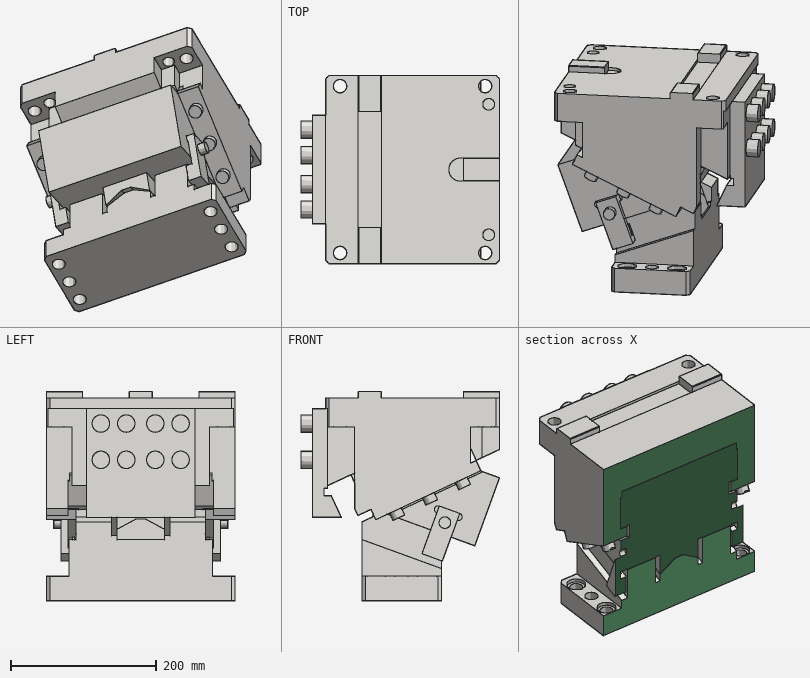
import cadquery as cq
import math

SLIDE_ANGLE = 25.0
DRIVE_ANGLE = 20.0
UNIT_WIDTH = 260.0
CORNER_CHAMFER = 5.0
FAR = 400.0

BASE_LENGTH = 110.0
BASE_WIDTH = 198.0
FLANGE_HEIGHT = 34.0
BASE_FRONT_HEIGHT = 109.0
RAMP_HEIGHT = 132.5
RAMP_START = 19.5
RAMP_WIDTH = 178.0
LEDGE_DEPTH = 45.0
CHANNEL_WIDTH = 80.0
CHANNEL_DEPTH = 40.0
RIDGE_WIDTH = 66.0
RIDGE_FLAT_WIDTH = 14.0
RIDGE_CREST_DEPTH = 14.0
RIDGE_EAVE_DEPTH = 29.0
FLANGE_HOLE_X = (20.0, 55.0, 90.0)
FLANGE_HOLE_Y = 115.0
FLANGE_HOLE_DIAMETER = 18.0
COUNTERBORE_DIAMETER = 26.0
COUNTERBORE_DEPTH = 5.0

SLAB_LEFT = -50.0
SLAB_RIGHT = 190.0
SLAB_TOP = 280.0
SLAB_BOTTOM = 240.0
FACE_SEAT_X = -47.0
SLAB_HOLES = ((-30.0, 115.0), (170.0, 115.0))
SLAB_HOLE_DIAMETER = 18.0
DOWEL_X = 175.0
DOWEL_Y = 90.0
DOWEL_DIAMETER = 16.0

KEY_WIDTH = 32.0
KEY_LENGTH = 50.0
KEY_TOP = 289.0
KEY_CHAMFER = 1.0
KEYWAY_DEPTH = 4.0
CROSS_KEYWAY_LEFT = -5.0
END_KEYWAY_ROUND_X = 136.0

WALL_LEFT = -10.0
WALL_RIGHT = 150.0
WALL_CORNER_CUT = 5.0
CORE_WIDTH = 190.0
CORE_RIGHT = 166.0
END_BLOCK_WIDTH = 150.0
GUIDE_HEIGHT = 115.4
CAVITY_END = 185.0
GUIDE_ROOF = 55.0

RETAINER_START = 25.0
RETAINER_THICKNESS = 15.5
RETAINER_INNER_Y = 89.0
SCREW_OFFSETS = (30.0, 80.0, 130.0)
SCREW_Y = 115.0
SCREW_DIAMETER = 18.0
SCREW_LENGTH = 11.0

FACE_SIZE = 150.0
FACE_LEFT = -68.0
FACE_TOP = 265.0
FACE_BOLT_Y = (-55.0, -20.0, 20.0, 55.0)
FACE_BOLT_DROPS = (20.5, 70.5)
FACE_BOLT_DIAMETER = 24.0
FACE_BOLT_LENGTH = 16.0
HOOK_HEIGHT = 30.0
HOOK_LEDGE = 5.0
UNDERCUT_HEIGHT = 10.0

SLIDER_WIDTH = 200.0
SLIDER_TOP_WIDTH = 196.0
SLIDER_TOP_STEP = 9.0
SLIDER_START = 20.0
SLIDER_GUIDE_END = 155.0
SLIDER_BODY_HEIGHT = 100.0
NECK_WIDTH = 172.0
NECK_HEIGHT = 18.0

STRAP_START = 101.0
STRAP_WIDTH = 30.0
STRAP_REACH = 35.0
STRAP_INNER_Y = 91.0
STRAP_OUTER_Y = 110.0
STRAP_GAP = 10.5
FOOT_NOTCH_INNER_Y = 94.0
FOOT_NOTCH_FLOOR = 26.0
FOOT_NOTCH_LENGTH = 5.0
STRAP_RELIEF_RADIUS = 5.0
STRAP_PIN_RISE = 16.0
STRAP_PIN_DIAMETER = 16.0
STRAP_PIN_LENGTH = 10.0

SLIDE = math.radians(SLIDE_ANGLE)
DRIVE = math.radians(DRIVE_ANGLE)

SLIDER_RIGHT = (SLAB_RIGHT - SLIDER_BODY_HEIGHT * math.sin(DRIVE)) / math.cos(DRIVE)
KEEL_END = STRAP_START + STRAP_WIDTH


def guide_point(along, up):
    """XZ point measured along and square to the holder's guide plane."""
    x = WALL_LEFT + along * math.cos(SLIDE) - up * math.sin(SLIDE)
    z = GUIDE_HEIGHT + along * math.sin(SLIDE) + up * math.cos(SLIDE)
    return (x, z)


def ramp_point(along, up):
    """XZ point measured along and square to the base's ramp plane."""
    x = along * math.cos(DRIVE) + up * math.sin(DRIVE)
    z = RAMP_HEIGHT - along * math.sin(DRIVE) + up * math.cos(DRIVE)
    return (x, z)


def crossing(first, second):
    """XZ point where two lines meet, each given by two points."""
    (x1, z1), (x2, z2) = first
    (x3, z3), (x4, z4) = second
    run, rise = x2 - x1, z2 - z1
    other_run, other_rise = x4 - x3, z4 - z3
    spread = run * other_rise - rise * other_run
    share = ((x3 - x1) * other_rise - (z3 - z1) * other_run) / spread
    return (x1 + share * run, z1 + share * rise)


def extrude_y(points, y_from, y_to):
    """Prism of an XZ outline between two Y positions."""
    plane = cq.Workplane("XZ", origin=(0, y_from, 0))
    return plane.polyline(points).close().extrude(y_from - y_to)


def centred(points, width):
    return extrude_y(points, -width / 2, width / 2)


def rectangle(place, along_from, along_to, up_from, up_to):
    """Rectangle outline in the guide or ramp directions."""
    return [
        place(along_from, up_from),
        place(along_to, up_from),
        place(along_to, up_to),
        place(along_from, up_to),
    ]


def box(x_from, x_to, y_from, y_to, z_from, z_to):
    size = (x_to - x_from, y_to - y_from, z_to - z_from)
    return cq.Workplane("XY", origin=(x_from, y_from, z_from)).box(*size, centered=False)


def both_sides(shape):
    return shape.union(shape.mirror("XZ"))


def cylinder_y(centre, radius, y_from, y_to):
    plane = cq.Workplane("XZ", origin=(0, y_from, 0))
    return plane.center(*centre).circle(radius).extrude(y_from - y_to)


def ridge_envelope(height):
    """Space over the base's V ridge, from its roof up to a height above the ramp plane."""
    start_x, start_z = ramp_point(RAMP_START, 0)
    ramp_plane = cq.Plane(
        origin=(start_x, 0, start_z),
        xDir=(0, 1, 0),
        normal=(math.cos(DRIVE), 0, -math.sin(DRIVE)),
    )
    eave = RIDGE_WIDTH / 2
    crest = RIDGE_FLAT_WIDTH / 2
    outline = [
        (-eave, height),
        (-eave, -RIDGE_EAVE_DEPTH),
        (-crest, -RIDGE_CREST_DEPTH),
        (crest, -RIDGE_CREST_DEPTH),
        (eave, -RIDGE_EAVE_DEPTH),
        (eave, height),
    ]
    return cq.Workplane(ramp_plane).polyline(outline).close().extrude(KEEL_END - RAMP_START)


def base_profile():
    front_slope = [(0, BASE_FRONT_HEIGHT), (FAR, BASE_FRONT_HEIGHT + FAR * math.tan(SLIDE))]
    step_foot = crossing(front_slope, [ramp_point(RAMP_START, 0), ramp_point(RAMP_START, -1)])
    back = [(BASE_LENGTH, 0), (BASE_LENGTH, 1)]
    ramp_end = crossing([ramp_point(0, 0), ramp_point(1, 0)], back)
    return [
        (0, 0),
        (BASE_LENGTH, 0),
        ramp_end,
        ramp_point(RAMP_START, 0),
        step_foot,
        (0, BASE_FRONT_HEIGHT),
    ]


def ramp_trench(y_from, y_to, depth):
    return extrude_y(rectangle(ramp_point, -FAR, FAR, -depth, FAR), y_from, y_to)


def make_base():
    flange = box(0, BASE_LENGTH, -UNIT_WIDTH / 2, UNIT_WIDTH / 2, 0, FLANGE_HEIGHT)
    flange = flange.edges("|Z").chamfer(CORNER_CHAMFER)

    tower = centred(base_profile(), BASE_WIDTH)
    tower = tower.cut(both_sides(ramp_trench(RAMP_WIDTH / 2, BASE_WIDTH, LEDGE_DEPTH)))
    channel = ramp_trench(RIDGE_WIDTH / 2, CHANNEL_WIDTH / 2, CHANNEL_DEPTH)
    tower = tower.cut(both_sides(channel))
    mouth = rectangle(ramp_point, -FAR, RAMP_START, -LEDGE_DEPTH, FAR)
    tower = tower.cut(centred(mouth, RIDGE_WIDTH))
    tower = tower.cut(ridge_envelope(FAR))

    base = flange.union(tower)
    end_holes = [(FLANGE_HOLE_X[i], side * FLANGE_HOLE_Y) for i in (0, -1) for side in (-1, 1)]
    middle_holes = [(FLANGE_HOLE_X[1], side * FLANGE_HOLE_Y) for side in (-1, 1)]
    top = cq.Workplane("XY", origin=(0, 0, FLANGE_HEIGHT))
    base = base.cut(
        top.pushPoints(end_holes + middle_holes).circle(FLANGE_HOLE_DIAMETER / 2).extrude(-FLANGE_HEIGHT)
    )
    return base.cut(top.pushPoints(end_holes).circle(COUNTERBORE_DIAMETER / 2).extrude(-COUNTERBORE_DEPTH))


def stepped_guide(outline):
    """Guide shape: full width, stepped in along its top edges."""
    top_strip = rectangle(guide_point, -FAR, FAR, GUIDE_ROOF - SLIDER_TOP_STEP, FAR)
    corner = extrude_y(top_strip, SLIDER_TOP_WIDTH / 2, SLIDER_WIDTH)
    return centred(outline, SLIDER_WIDTH).cut(both_sides(corner))


def slab():
    half = UNIT_WIDTH / 2
    plate = box(SLAB_LEFT, SLAB_RIGHT, -half, half, SLAB_BOTTOM, SLAB_TOP)
    plate = plate.edges("|Z").chamfer(CORNER_CHAMFER)
    return plate.cut(box(SLAB_LEFT, FACE_SEAT_X, -half, half, SLAB_BOTTOM, FACE_TOP))


def walls_and_core():
    guide_line = [guide_point(0, 0), guide_point(1, 0)]
    wall_foot = crossing(guide_line, [(WALL_RIGHT, 0), (WALL_RIGHT, 1)])
    corner = guide_point(WALL_CORNER_CUT, 0)
    corner_top = crossing([corner, guide_point(WALL_CORNER_CUT, 1)], [(WALL_LEFT, 0), (WALL_LEFT, 1)])
    walls = centred(
        [(WALL_LEFT, SLAB_BOTTOM), corner_top, corner, wall_foot, (WALL_RIGHT, SLAB_BOTTOM)],
        UNIT_WIDTH,
    )

    def block_above_guide(x_from, x_to, width):
        feet = [crossing(guide_line, [(x, 0), (x, 1)]) for x in (x_from, x_to)]
        return centred([(x_from, SLAB_BOTTOM), *feet, (x_to, SLAB_BOTTOM)], width)

    core = block_above_guide(FACE_SEAT_X, CORE_RIGHT, CORE_WIDTH)
    end_block = block_above_guide(CORE_RIGHT, SLAB_RIGHT, END_BLOCK_WIDTH)
    return walls.union(core).union(end_block)


def retainer():
    outline = rectangle(guide_point, RETAINER_START, CAVITY_END, -RETAINER_THICKNESS, 0)
    plate = extrude_y(outline, RETAINER_INNER_Y, UNIT_WIDTH / 2)
    down = (math.sin(SLIDE), 0, -math.cos(SLIDE))
    for offset in SCREW_OFFSETS:
        x, z = guide_point(RETAINER_START + offset, -RETAINER_THICKNESS)
        screw = cq.Solid.makeCylinder(
            SCREW_DIAMETER / 2, SCREW_LENGTH, cq.Vector(x, SCREW_Y, z), cq.Vector(*down)
        )
        plate = plate.union(cq.Workplane(screw))
    return plate


def face_plate():
    bottom = FACE_TOP - FACE_SIZE
    hook_top = bottom + HOOK_HEIGHT
    hook_x = FACE_SEAT_X + HOOK_LEDGE
    undercut_x = FACE_SEAT_X - HOOK_LEDGE
    outline = [
        (FACE_LEFT, FACE_TOP),
        (FACE_LEFT, bottom),
        (hook_x + HOOK_HEIGHT * math.tan(SLIDE), bottom),
        (hook_x, hook_top),
        (undercut_x, hook_top),
        (undercut_x, hook_top + UNDERCUT_HEIGHT),
        (FACE_SEAT_X, hook_top + UNDERCUT_HEIGHT),
        (FACE_SEAT_X, FACE_TOP),
    ]
    bolt_centres = [(y, FACE_TOP - drop) for y in FACE_BOLT_Y for drop in FACE_BOLT_DROPS]
    bolts = (
        cq.Workplane("YZ", origin=(FACE_LEFT, 0, 0))
        .pushPoints(bolt_centres)
        .circle(FACE_BOLT_DIAMETER / 2)
        .extrude(-FACE_BOLT_LENGTH)
    )
    return centred(outline, FACE_SIZE).union(bolts)


def keyways():
    floor = SLAB_TOP - KEYWAY_DEPTH
    half = UNIT_WIDTH / 2
    cross_right = CROSS_KEYWAY_LEFT + KEY_WIDTH
    cross = box(CROSS_KEYWAY_LEFT, cross_right, -half, half, floor, SLAB_TOP)
    straight = box(END_KEYWAY_ROUND_X, SLAB_RIGHT, -KEY_WIDTH / 2, KEY_WIDTH / 2, floor, SLAB_TOP)
    round_end = cq.Workplane("XY", origin=(END_KEYWAY_ROUND_X, 0, floor)).circle(KEY_WIDTH / 2)
    return cross.union(straight).union(round_end.extrude(KEYWAY_DEPTH))


def keys():
    floor = SLAB_TOP - KEYWAY_DEPTH
    half = UNIT_WIDTH / 2
    cross_right = CROSS_KEYWAY_LEFT + KEY_WIDTH
    side_key = box(CROSS_KEYWAY_LEFT, cross_right, half - KEY_LENGTH, half, floor, KEY_TOP)
    side_key = side_key.faces(">Z").edges("|Y").chamfer(KEY_CHAMFER)
    end_key = box(SLAB_RIGHT - KEY_LENGTH, SLAB_RIGHT, -KEY_WIDTH / 2, KEY_WIDTH / 2, floor, KEY_TOP)
    end_key = end_key.faces(">Z").edges("|X").chamfer(KEY_CHAMFER)
    return both_sides(side_key).union(end_key)


def make_holder():
    cavity = stepped_guide(rectangle(guide_point, -FAR, CAVITY_END, -FAR, GUIDE_ROOF))
    holder = slab().union(walls_and_core()).cut(cavity)

    top = cq.Workplane("XY", origin=(0, 0, SLAB_TOP))
    slab_thickness = SLAB_TOP - SLAB_BOTTOM
    screw_holes = [(x, side * y) for x, y in SLAB_HOLES for side in (-1, 1)]
    holder = holder.cut(top.pushPoints(screw_holes).circle(SLAB_HOLE_DIAMETER / 2).extrude(-slab_thickness))
    dowels = [(DOWEL_X, side * DOWEL_Y) for side in (-1, 1)]
    holder = holder.cut(top.pushPoints(dowels).circle(DOWEL_DIAMETER / 2).extrude(-slab_thickness))

    holder = holder.cut(keyways()).union(keys())
    return holder.union(both_sides(retainer())).union(face_plate())


def slider_profile():
    ramp_line = [ramp_point(0, 0), ramp_point(1, 0)]
    body_top = [ramp_point(0, SLIDER_BODY_HEIGHT), ramp_point(1, SLIDER_BODY_HEIGHT)]
    front = [guide_point(SLIDER_START, 0), guide_point(SLIDER_START, 1)]
    guide_end = [guide_point(SLIDER_GUIDE_END, 0), guide_point(SLIDER_GUIDE_END, 1)]
    return [
        guide_point(SLIDER_START, GUIDE_ROOF),
        crossing(front, ramp_line),
        ramp_point(SLIDER_RIGHT, 0),
        ramp_point(SLIDER_RIGHT, SLIDER_BODY_HEIGHT),
        crossing(guide_end, body_top),
        guide_point(SLIDER_GUIDE_END, GUIDE_ROOF),
    ]


def strap():
    """C-shaped strap: its head sits in the slider, its foot hangs over the base ledge.

    The foot has a notch in its front face.
    """
    end = STRAP_START + STRAP_WIDTH
    side_y = SLIDER_WIDTH / 2
    bar = extrude_y(
        rectangle(ramp_point, STRAP_START, end, -STRAP_REACH, STRAP_REACH), side_y, STRAP_OUTER_Y
    )
    foot = extrude_y(
        rectangle(ramp_point, STRAP_START, end, -STRAP_REACH, -STRAP_GAP), STRAP_INNER_Y, side_y
    )
    notch_end = STRAP_START + FOOT_NOTCH_LENGTH
    notch = rectangle(ramp_point, STRAP_START, notch_end, -FOOT_NOTCH_FLOOR, -STRAP_GAP)
    foot = foot.cut(extrude_y(notch, FOOT_NOTCH_INNER_Y, side_y))
    pin_centre = ramp_point(STRAP_START + STRAP_WIDTH / 2, STRAP_PIN_RISE)
    pin = cylinder_y(pin_centre, STRAP_PIN_DIAMETER / 2, STRAP_OUTER_Y, STRAP_OUTER_Y + STRAP_PIN_LENGTH)
    return bar.union(foot).union(pin)


def strap_reliefs():
    """Round corner reliefs of the strap seat, outside the strap itself."""
    end = STRAP_START + STRAP_WIDTH
    side_y = SLIDER_WIDTH / 2
    reliefs = None
    for along in (STRAP_START, end):
        centre = ramp_point(along, STRAP_REACH - STRAP_RELIEF_RADIUS)
        hole = cylinder_y(centre, STRAP_RELIEF_RADIUS, STRAP_INNER_Y, side_y)
        reliefs = hole if reliefs is None else reliefs.union(hole)
    head = rectangle(ramp_point, STRAP_START, end, 0, STRAP_REACH)
    return reliefs.cut(extrude_y(head, STRAP_INNER_Y, side_y))


def make_slider():
    slider = stepped_guide(slider_profile())
    neck_slot = rectangle(guide_point, -FAR, FAR, -NECK_HEIGHT, 0)
    slider = slider.cut(both_sides(extrude_y(neck_slot, NECK_WIDTH / 2, SLIDER_WIDTH)))
    slider = slider.union(ridge_envelope(0))
    return slider.cut(both_sides(strap_reliefs())).union(both_sides(strap()))


base = make_base()
holder = make_holder()
slider = make_slider()
result = cq.Compound.makeCompound([body.solids().val() for body in (base, holder, slider)])